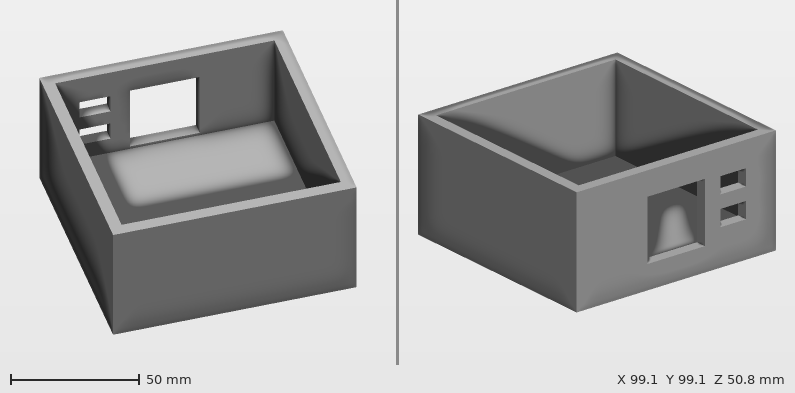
import cadquery as cq

side = 99.1
height = 50.8
wall = 5.0
floor_thickness = 10.0

window_size = 28.4
slot_width = 12.7
slot_height = 7.7
slot_y = -28.4
lower_slot_z = 21.0
slot_spacing = 13.9


def wall_opening(width, opening_height, y, z):
    """Cutter through the -X wall, centred at the given Y and Z."""
    cutter = cq.Workplane("XY").box(2 * wall, width, opening_height)
    return cutter.translate((-side / 2, y, z))


def open_box():
    """Square block hollowed from the top down to the floor."""
    inner_side = side - 2 * wall
    block = cq.Workplane("XY").box(side, side, height, centered=(True, True, False))
    cavity = (
        cq.Workplane("XY")
        .workplane(offset=floor_thickness)
        .rect(inner_side, inner_side)
        .extrude(height - floor_thickness)
    )
    return block.cut(cavity)


result = open_box()

result = result.cut(wall_opening(window_size, window_size, 0, height / 2))

for slot_z in (lower_slot_z, lower_slot_z + slot_spacing):
    result = result.cut(wall_opening(slot_width, slot_height, slot_y, slot_z))